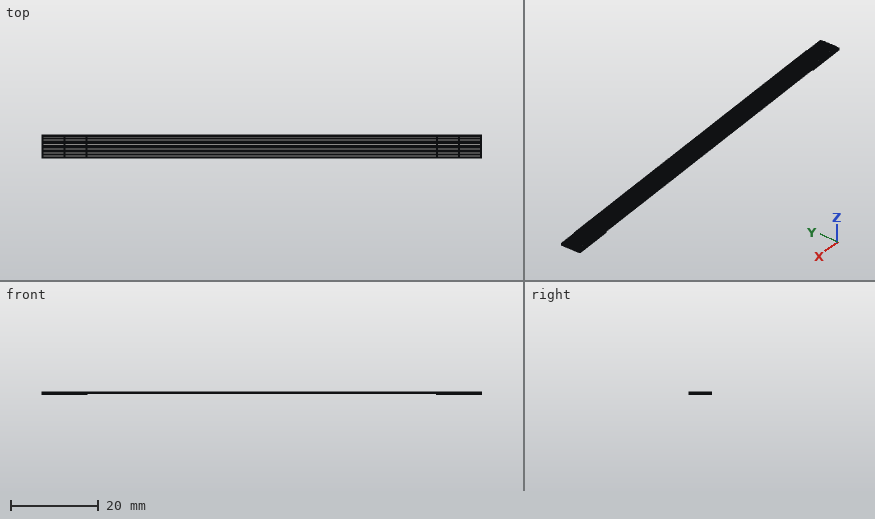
import cadquery as cq

length = 100.0
width = 5.0
height = 0.36

conductor_count = 4
pitch = 1.0
conductor_width = 0.7
conductor_thickness = 0.1

stiffener_length = 10.0
stiffener_thickness = 0.2
exposed_length = 5.0
film_length = length - 2 * exposed_length
film_thickness = height - stiffener_thickness - conductor_thickness

conductor_bottom = stiffener_thickness
film_bottom = conductor_bottom + conductor_thickness


def slab(x_start, x_length, y_center, y_width, bottom, thickness):
    """Box given by its left end, its centre across the cable and its underside."""
    return (
        cq.Workplane("XY")
        .box(x_length, y_width, thickness, centered=(False, True, False))
        .translate((x_start, y_center, bottom))
    )


cable = slab(exposed_length, film_length, 0, width, film_bottom, film_thickness)

for index in range(conductor_count):
    y_center = (index - (conductor_count - 1) / 2) * pitch
    cable = cable.union(
        slab(0, length, y_center, conductor_width, conductor_bottom, conductor_thickness)
    )

for x_start in (0, length - stiffener_length):
    cable = cable.union(slab(x_start, stiffener_length, 0, width, 0, stiffener_thickness))

result = cable